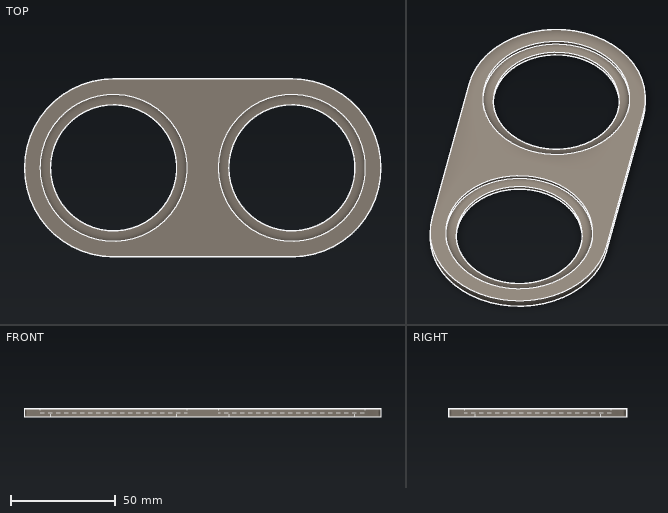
import cadquery as cq

length = 170.0
width = 85.0
thickness = 4.0
hole_diameter = 60.0
recess_diameter = 70.0
recess_depth = 2.0

center_spacing = length - width
opening_centers = [(-center_spacing / 2, 0), (center_spacing / 2, 0)]

plate = cq.Workplane("XY").slot2D(length, width).extrude(thickness)

result = (
    plate.faces(">Z")
    .workplane(origin=(0, 0, thickness))
    .pushPoints(opening_centers)
    .cboreHole(hole_diameter, recess_diameter, recess_depth)
)